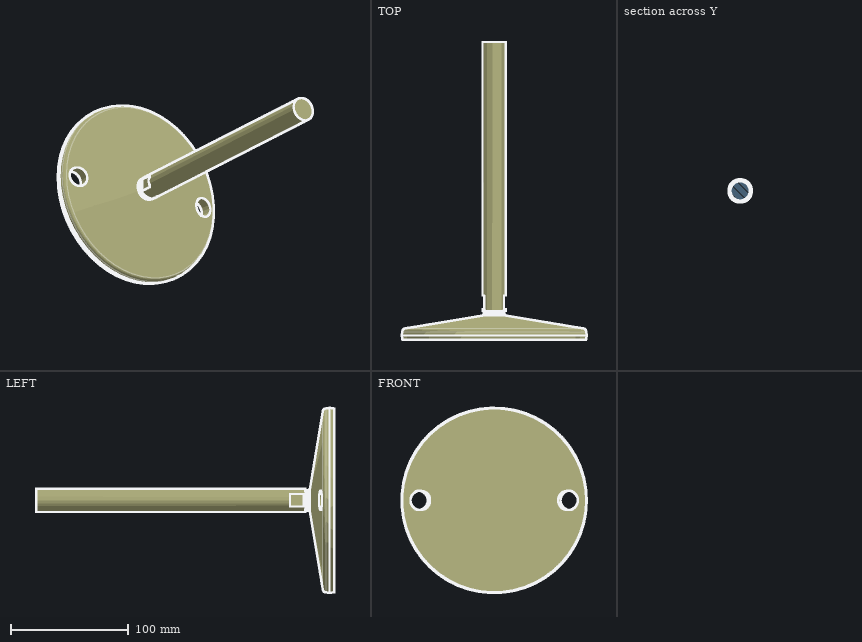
import cadquery as cq
import math


total_height = 254.0

rim_diameter = 157.98
rim_height = 4.0
rim_top_height = 7.0
shoulder_radius = 3.0
cone_slope = math.radians(9.4)
cone_top_radius = 9.8
lip_radius = 9.0
lip_height = 0.9

hole_diameter = 16.5
hole_offset = 62.8
hole_cutter_length = 60.0

stem_diameter = 20.0
stem_start = 24.7
flats_width = 17.0
flats_start = 26.2
flats_length = 11.5
upper_neck_radius = 7.6
ring_radius = 9.0
ring_top = 23.8
ring_bottom = 22.9
lower_neck_radius = 8.4

taper = math.tan(cone_slope)
rim_radius = rim_diameter / 2
underside_radius = rim_radius - rim_height * taper
shoulder_start_radius = rim_radius - (rim_top_height - rim_height) * taper
shoulder_center_radius = shoulder_start_radius - shoulder_radius


def on_shoulder(angle):
    """Point of the rounded shoulder, with the angle measured from the radial direction."""
    return (
        shoulder_center_radius + shoulder_radius * math.cos(angle),
        rim_top_height + shoulder_radius * math.sin(angle),
    )


cone_normal_angle = math.pi / 2 - cone_slope
cone_edge = on_shoulder(cone_normal_angle)
cone_top = cone_edge[1] + (cone_edge[0] - cone_top_radius) * taper
base_top = cone_top + lip_height


def mounting_hole(side):
    """Cutter for one hole, leaning outward toward the cone side; side is -1 or +1."""
    direction = cq.Vector(side * math.sin(cone_slope), math.cos(cone_slope), 0)
    middle = cq.Vector(side * hole_offset, 0, 0)
    start = middle - direction * (hole_cutter_length / 2)
    return cq.Workplane(
        cq.Solid.makeCylinder(hole_diameter / 2, hole_cutter_length, start, direction)
    )


def make_base():
    """Conical foot with a tapered rim, a small top lip and two mounting holes."""
    base = (
        cq.Workplane("XY")
        .lineTo(underside_radius, 0)
        .lineTo(rim_radius, rim_height)
        .lineTo(shoulder_start_radius, rim_top_height)
        .threePointArc(on_shoulder(cone_normal_angle / 2), cone_edge)
        .lineTo(cone_top_radius, cone_top)
        .lineTo(lip_radius, base_top)
        .lineTo(0, base_top)
        .close()
        .revolve(360, (0, 0), (0, 1))
    )
    for side in (-1, 1):
        base = base.cut(mounting_hole(side))
    return base


def make_stem():
    """Round rod with a ringed neck at its lower end and two wrench flats facing -X and +X."""
    stem_radius = stem_diameter / 2
    stem = (
        cq.Workplane("XY")
        .moveTo(0, base_top)
        .lineTo(lower_neck_radius, base_top)
        .lineTo(lower_neck_radius, ring_bottom)
        .lineTo(ring_radius, ring_bottom)
        .lineTo(ring_radius, ring_top)
        .lineTo(upper_neck_radius, ring_top)
        .lineTo(upper_neck_radius, stem_start)
        .lineTo(stem_radius, stem_start)
        .lineTo(stem_radius, total_height)
        .lineTo(0, total_height)
        .close()
        .revolve(360, (0, 0), (0, 1))
    )
    flats_middle = flats_start + flats_length / 2
    for side in (-1, 1):
        flat_cutter = cq.Workplane("XY").box(stem_diameter, flats_length, stem_diameter)
        flat_x = side * (flats_width + stem_diameter) / 2
        stem = stem.cut(flat_cutter.translate((flat_x, flats_middle, 0)))
    return stem


base = make_base()
stem = make_stem()

result = cq.Compound.makeCompound([base.val(), stem.val()])